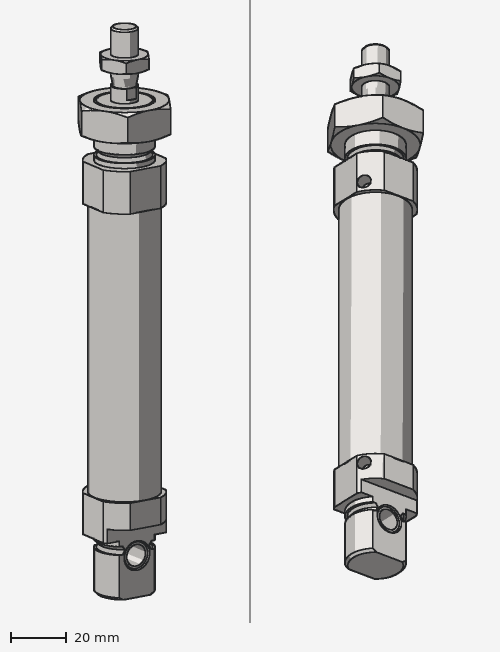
import cadquery as cq
import math

TOTAL_HEIGHT = 211.5
OVERSIZE = 42.3

TUBE_DIA = 26.5
CAP_DIA = 30.0
CAP_FLATS = 27.0
REAR_CAP_Z = 22.2
REAR_CAP_TOP_Z = 37.6
FRONT_CAP_Z = 145.7
FRONT_CAP_TOP_Z = 161.5
THREAD_DIA = 22.0
THREAD_CHAMFER = 0.8
NECK_TOP_Z = 184.0

GROOVE_DIA = 20.3
GROOVE_ROOT_DIA = 19.0
GROOVE_WIDTH = 3.2
GROOVE_ROOT_RISE = 1.7
FRONT_GROOVE_Z = 163.5
REAR_GROOVE_Z = 17.0

LUG_THICKNESS = 16.0
LUG_TOP_Z = 27.5
LUG_CHAMFER = 1.0
PIVOT_DIA = 8.0
PIVOT_Z = 15.7
PIVOT_MOUTH_DIA = 11.0
PIVOT_RECESS_DIA = 10.0
PIVOT_RECESS_DEPTH = 0.53

PORT_DIA = 5.0
PORT_DEPTH = 6.3
PORT_ANGLE = 126.0
REAR_PORT_Z = 34.3
FRONT_PORT_Z = 149.5

ROD_DIA = 10.0
ROD_SEAT_Z = FRONT_CAP_Z
ROD_TIP_CHAMFER = 0.75
ROD_FLATS = 9.0
ROD_FLATS_Z = 185.3
ROD_UNDERCUT_DIA = 8.7
ROD_UNDERCUT_Z = 189.5
ROD_UNDERCUT_WIDTH = 0.6
ROD_TAPER_TOP_Z = 193.3

MOUNT_NUT_CORNERS = 37.0
MOUNT_NUT_HEIGHT = 11.6
MOUNT_NUT_Z = NECK_TOP_Z - MOUNT_NUT_HEIGHT
ROD_NUT_CORNERS = 19.7
ROD_NUT_HEIGHT = 5.0
ROD_NUT_Z = 196.0
NUT_CHAMFER_ANGLE = 25.0
NUT_CONE_OVERRUN = 0.5


def round_bar(diameter, bottom, top):
    """Plain round bar on the Z axis."""
    return cq.Workplane("XY").workplane(offset=bottom).circle(diameter / 2).extrude(top - bottom)


def turned(points):
    """Solid of revolution around Z from an (r, z) outline."""
    return cq.Workplane("XZ").polyline(points).close().revolve(360, (0, 0), (0, 1))


def cut_flats(body, thickness, bottom, top):
    """Mill two parallel flats, facing -X and +X, between two heights."""
    for side in (-1, 1):
        waste = cq.Workplane("XY").box(OVERSIZE, OVERSIZE, top - bottom, centered=(True, True, False))
        body = body.cut(waste.translate((side * (thickness + OVERSIZE) / 2, 0, bottom)))
    return body


def cap(bottom, top):
    """Round cap with four flats, square to X and Y."""
    height = top - bottom
    flats = cq.Workplane("XY").workplane(offset=bottom).rect(CAP_FLATS, CAP_FLATS).extrude(height)
    return round_bar(CAP_DIA, bottom, top).intersect(flats)


def thread_groove(bottom):
    """Ring that cuts one undercut."""
    side, root = GROOVE_DIA / 2, GROOVE_ROOT_DIA / 2
    top = bottom + GROOVE_WIDTH
    return turned([(OVERSIZE, bottom), (side, bottom), (root, bottom + GROOVE_ROOT_RISE),
                   (side, top), (OVERSIZE, top)])


def port(z):
    """Radial drill for an air port."""
    angle = math.radians(PORT_ANGLE)
    outward = cq.Vector(math.cos(angle), math.sin(angle), 0)
    start = outward * (CAP_DIA / 2 - PORT_DEPTH) + cq.Vector(0, 0, z)
    return cq.Workplane(cq.Solid.makeCylinder(PORT_DIA / 2, OVERSIZE, start, outward))


def pivot_hole():
    """Through hole along X with a shallow tapered recess in each lug face."""
    face = LUG_THICKNESS / 2
    floor = face - PIVOT_RECESS_DEPTH
    hole, recess, mouth = PIVOT_DIA / 2, PIVOT_RECESS_DIA / 2, PIVOT_MOUTH_DIA / 2
    outline = [(0, -face), (mouth, -face), (recess, -floor), (hole, -floor),
               (hole, floor), (recess, floor), (mouth, face), (0, face)]
    return turned(outline).rotate((0, 0, 0), (0, 1, 0), 90).translate((0, 0, PIVOT_Z))


def make_cylinder():
    """Tube with both end caps, threaded neck, rear lug, air ports and rod bore, in one piece."""
    rear_lug = round_bar(THREAD_DIA, 0, REAR_CAP_Z).faces("<Z").chamfer(LUG_CHAMFER)
    neck = round_bar(THREAD_DIA, FRONT_CAP_TOP_Z, NECK_TOP_Z).faces(">Z").chamfer(THREAD_CHAMFER)
    body = round_bar(TUBE_DIA, REAR_CAP_TOP_Z, FRONT_CAP_Z)
    body = body.union(cap(REAR_CAP_Z, REAR_CAP_TOP_Z)).union(rear_lug)
    body = body.union(cap(FRONT_CAP_Z, FRONT_CAP_TOP_Z)).union(neck)
    body = body.cut(thread_groove(FRONT_GROOVE_Z)).cut(thread_groove(REAR_GROOVE_Z))
    body = cut_flats(body, LUG_THICKNESS, 0, LUG_TOP_Z)
    body = body.cut(pivot_hole())
    for port_z in (REAR_PORT_Z, FRONT_PORT_Z):
        body = body.cut(port(port_z))
    return body.cut(round_bar(ROD_DIA, ROD_SEAT_Z, NECK_TOP_Z))


def make_piston_rod():
    """Rod seated in the cylinder bore, with wrench flats and a thread undercut."""
    full, neck, tip = ROD_DIA / 2, ROD_UNDERCUT_DIA / 2, ROD_DIA / 2 - ROD_TIP_CHAMFER
    rod = turned([
        (0, ROD_SEAT_Z), (full, ROD_SEAT_Z),
        (full, ROD_UNDERCUT_Z), (neck, ROD_UNDERCUT_Z),
        (neck, ROD_UNDERCUT_Z + ROD_UNDERCUT_WIDTH), (full, ROD_TAPER_TOP_Z),
        (full, TOTAL_HEIGHT - ROD_TIP_CHAMFER), (tip, TOTAL_HEIGHT), (0, TOTAL_HEIGHT),
    ])
    return cut_flats(rod, ROD_FLATS, ROD_FLATS_Z, ROD_UNDERCUT_Z)


def make_hex_nut(across_corners, height, bore, bottom):
    """Hexagon nut with corners on the Y axis and both ends turned to a cone."""
    rim = across_corners / 2 * math.cos(math.pi / 6)
    reach = across_corners / 2 + NUT_CONE_OVERRUN
    rise = (reach - rim) * math.tan(math.radians(NUT_CHAMFER_ANGLE))
    top = bottom + height
    hexagon = cq.Workplane("XY").workplane(offset=bottom).polygon(6, across_corners).extrude(height)
    hexagon = hexagon.rotate((0, 0, 0), (0, 0, 1), 90)
    cones = turned([(0, bottom), (rim, bottom), (reach, bottom + rise),
                    (reach, top - rise), (rim, top), (0, top)])
    return hexagon.intersect(cones).cut(round_bar(bore, bottom, top))


cylinder = make_cylinder()
piston_rod = make_piston_rod()
mounting_nut = make_hex_nut(MOUNT_NUT_CORNERS, MOUNT_NUT_HEIGHT, THREAD_DIA, MOUNT_NUT_Z)
rod_nut = make_hex_nut(ROD_NUT_CORNERS, ROD_NUT_HEIGHT, ROD_DIA, ROD_NUT_Z)

result = cq.Compound.makeCompound([cylinder.val(), piston_rod.val(), mounting_nut.val(), rod_nut.val()])